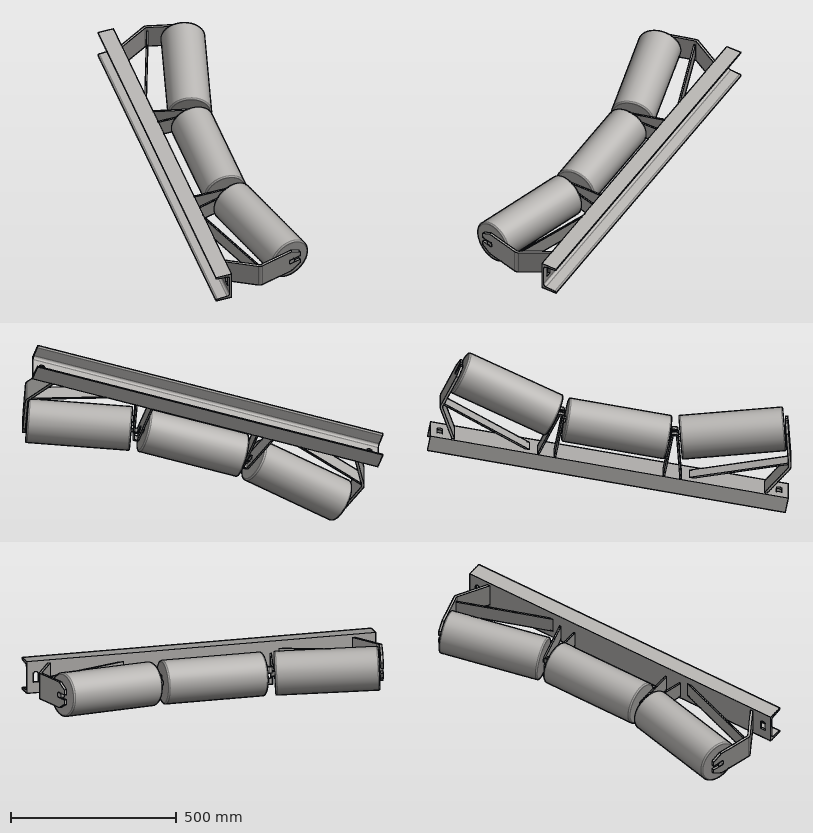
import cadquery as cq
import math


beam_length = 1100.0
beam_depth = 50.0
beam_height = 100.0
web_thickness = 6.0
flange_root_thickness = 10.0
flange_tip_thickness = 7.0
flange_root_radius = 9.0
flange_tip_radius = 4.0

bolt_slot_width = 16.0
bolt_slot_height = 33.0
bolt_slot_from_end = 29.0

roller_diameter = 133.0
roller_length = 315.0
roller_rim_radius = 4.0
shaft_diameter = 20.0
shaft_flat_width = 15.0
shaft_overhang = 12.0
shaft_length = roller_length + 2 * shaft_overhang

slot_lift = 110.0
slot_end_room = 5.0
slot_cut_length = shaft_length + 2 * slot_end_room

centre_roller_y = 115.0
centre_roller_z = -15.0
trough_angle = 15.0
forward_tilt = 2.4
wing_roller_x = -346.0
wing_roller_y = 163.0
wing_roller_z = -8.2

outer_width = 80.0
tip_width = 45.0
tip_taper_length = 30.0
outer_thickness = 8.0
outer_foot_angle = 30.0
outer_bend_x = -540.0
outer_bend_y = 96.0
outer_tip_y = 235.0
outer_bend_radius = 16.0

inner_width = 55.0
inner_thickness = 5.0
inner_upright_x = -165.0
inner_slope_foot_x = -221.0
inner_top_y = 142.0
inner_bend_radius = 7.0

brace_thickness = 5.0
brace_width = 50.0
brace_angle = 20.0
brace_foot_x = -245.0


def plate(points, width):
    """Extrude an XY outline to a plate of the given width, centred on Z = 0."""
    return cq.Workplane("XY", origin=(0, 0, -width / 2)).polyline(points).close().extrude(width)


def round_corner(body, point, radius):
    """Round the edge along Z that passes through an XY point."""
    edge = cq.selectors.NearestToPointSelector((*point, body.val().Center().z))
    return body.edges("|Z").edges(edge).fillet(radius)


def mirrored(body):
    return body.mirror("YZ")


def make_beam():
    half_height = beam_height / 2
    root_z = half_height - flange_root_thickness
    tip_z = half_height - flange_tip_thickness
    section = [
        (0, -half_height),
        (0, half_height),
        (-beam_depth, half_height),
        (-beam_depth, tip_z),
        (-web_thickness, root_z),
        (-web_thickness, -root_z),
        (-beam_depth, -tip_z),
        (-beam_depth, -half_height),
    ]
    end_plane = cq.Workplane("YZ", origin=(-beam_length / 2, 0, 0))
    beam = end_plane.polyline(section).close().extrude(beam_length)
    for side in (-1, 1):
        root = cq.selectors.NearestToPointSelector((0, -web_thickness, side * root_z))
        beam = beam.edges("|X").edges(root).fillet(flange_root_radius)
        tip = cq.selectors.NearestToPointSelector((0, -beam_depth, side * tip_z))
        beam = beam.edges("|X").edges(tip).fillet(flange_tip_radius)
    for side in (-1, 1):
        beam = beam.cut(make_bolt_slot(side * (beam_length / 2 - bolt_slot_from_end)))
    return beam


def make_bolt_slot(x):
    half_width = bolt_slot_width / 2
    half_height = bolt_slot_height / 2
    return (
        cq.Workplane("XZ")
        .moveTo(x - half_width, -half_height)
        .lineTo(x + half_width, -half_height)
        .lineTo(x + half_width, half_height - half_width)
        .threePointArc((x, half_height), (x - half_width, half_height - half_width))
        .close()
        .extrude(web_thickness)
    )


def bar(diameter, length):
    """A round bar along X, centred on the origin."""
    return cq.Workplane("YZ", origin=(-length / 2, 0, 0)).circle(diameter / 2).extrude(length)


def make_shaft(length):
    round_bar = bar(shaft_diameter, length)
    flats = cq.Workplane("XY").box(length, shaft_diameter, shaft_flat_width)
    return round_bar.intersect(flats)


def make_roller():
    """A roller and its shaft along X, centred on the origin."""
    drum = bar(roller_diameter, roller_length)
    drum = drum.faces("<X or >X").edges().fillet(roller_rim_radius)
    return drum.union(make_shaft(shaft_length))


def make_shaft_slot():
    """The space a shaft sweeps when it is lifted out along Y, used to cut open slots."""
    lift = cq.Workplane("XY").box(slot_cut_length, slot_lift, shaft_flat_width)
    return make_shaft(slot_cut_length).union(lift.translate((0, slot_lift / 2, 0)))


def place_centre(body):
    return body.translate((0, centre_roller_y, centre_roller_z))


def place_wing(body):
    """Move a body from the origin to the left wing roller, raising its outer end."""
    tilted = body.rotate((0, 0, 0), (0, 1, 0), forward_tilt)
    troughed = tilted.rotate((0, 0, 0), (0, 0, 1), -trough_angle)
    return troughed.translate((wing_roller_x, wing_roller_y, wing_roller_z))


def make_outer_bracket():
    foot_slope = math.tan(math.radians(outer_foot_angle))
    tip_slope = math.tan(math.radians(trough_angle))
    foot_x_thickness = outer_thickness / math.cos(math.radians(outer_foot_angle))
    tip_x_thickness = outer_thickness / math.cos(math.radians(trough_angle))
    foot_x = outer_bend_x + outer_bend_y * foot_slope
    tip_x = outer_bend_x + (outer_tip_y - outer_bend_y) * tip_slope
    inside_rise = (foot_x_thickness - tip_x_thickness) / (foot_slope + tip_slope)
    outside_bend = (outer_bend_x, outer_bend_y)
    inside_bend = (outer_bend_x + tip_x_thickness + inside_rise * tip_slope, outer_bend_y + inside_rise)
    tip_inside = (
        tip_x + outer_thickness * math.cos(math.radians(trough_angle)),
        outer_tip_y - outer_thickness * math.sin(math.radians(trough_angle)),
    )
    outline = [
        (foot_x, 0),
        outside_bend,
        (tip_x, outer_tip_y),
        tip_inside,
        inside_bend,
        (foot_x + foot_x_thickness, 0),
    ]
    bracket = plate(outline, outer_width)
    bracket = round_corner(bracket, outside_bend, outer_bend_radius)
    bracket = round_corner(bracket, inside_bend, outer_bend_radius - outer_thickness)
    bracket = bracket.intersect(make_tapered_tip(outer_tip_y))
    return bracket.cut(place_wing(make_shaft_slot()))


def make_tapered_tip(tip_y):
    """Bracket outline seen along X, with both corners of the tip cut off."""
    outline = [
        (0, -outer_width / 2),
        (tip_y - tip_taper_length, -outer_width / 2),
        (tip_y, -tip_width / 2),
        (tip_y, tip_width / 2),
        (tip_y - tip_taper_length, outer_width / 2),
        (0, outer_width / 2),
    ]
    return cq.Workplane("YZ").polyline(outline).close().extrude(-beam_length / 2)


def make_inner_bracket():
    slope = math.tan(math.radians(trough_angle))
    slope_x_thickness = inner_thickness / math.cos(math.radians(trough_angle))
    under_y = inner_top_y - inner_thickness
    slope_inside_foot_x = inner_slope_foot_x + slope_x_thickness
    upright_inside_x = inner_upright_x - inner_thickness
    outer_corners = [
        (inner_slope_foot_x + inner_top_y * slope, inner_top_y),
        (inner_upright_x, inner_top_y),
    ]
    inner_corners = [
        (upright_inside_x, under_y),
        (slope_inside_foot_x + under_y * slope, under_y),
    ]
    outline = [
        (inner_slope_foot_x, 0),
        *outer_corners,
        (inner_upright_x, 0),
        (upright_inside_x, 0),
        *inner_corners,
        (slope_inside_foot_x, 0),
    ]
    bracket = plate(outline, inner_width).translate((0, 0, centre_roller_z))
    for corner in outer_corners:
        bracket = round_corner(bracket, corner, inner_bend_radius)
    for corner in inner_corners:
        bracket = round_corner(bracket, corner, inner_bend_radius - inner_thickness)
    bracket = bracket.cut(place_wing(make_shaft_slot()))
    return bracket.cut(place_centre(make_shaft_slot()))


def make_brace(outer_bracket):
    """A flat strip whose upper end is trimmed to the inside of the outer bracket."""
    slope = math.tan(math.radians(brace_angle))
    foot_x_thickness = brace_thickness / math.sin(math.radians(brace_angle))
    end_x = outer_bend_x + outer_thickness / 2
    top_y = (brace_foot_x - end_x) * slope
    bottom_y = (brace_foot_x - foot_x_thickness - end_x) * slope
    outline = [
        (brace_foot_x, 0),
        (end_x, top_y),
        (end_x, bottom_y),
        (brace_foot_x - foot_x_thickness, 0),
    ]
    return plate(outline, brace_width).cut(outer_bracket)


beam = make_beam()
centre_roller = place_centre(make_roller())
wing_roller = place_wing(make_roller())
outer_bracket = make_outer_bracket()
inner_bracket = make_inner_bracket()
brace = make_brace(outer_bracket)

bodies = [beam.val(), centre_roller.val()]
for body in (wing_roller, outer_bracket, inner_bracket, brace):
    bodies.append(body.val())
    bodies.append(mirrored(body).val())

result = cq.Compound.makeCompound(bodies)